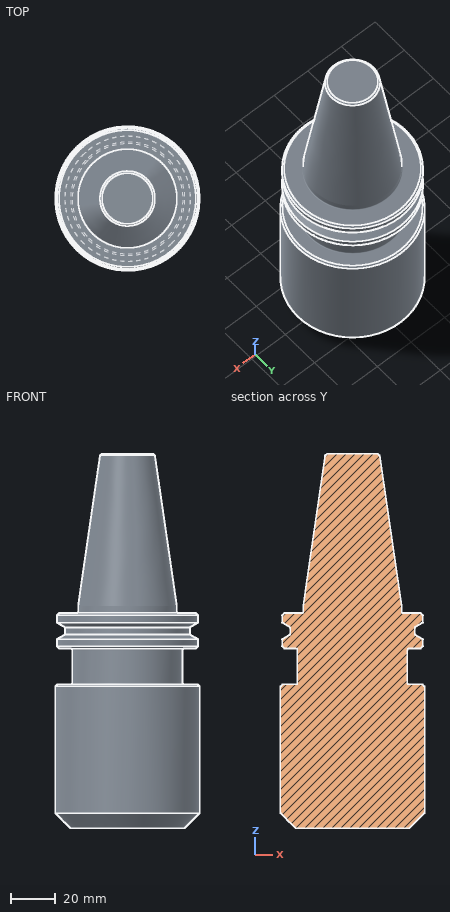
import cadquery as cq
import math

total_height = 168.4
taper_length = 68.4
gauge_z = total_height - taper_length
flange_top_z = gauge_z - 3.2
flange_bottom_z = gauge_z - 19.2
groove_z = gauge_z - 11.3
body_top_z = 64.8

gauge_radius = 22.2
taper_top_radius = gauge_radius - taper_length * 7 / 48
flange_radius = 63.5 / 2
groove_radius = 56.2 / 2
neck_radius = 49.7 / 2
body_radius = 65.0 / 2

taper_tip_chamfer = 0.8
flange_chamfer = 1.0
body_top_chamfer = 1.0
nose_chamfer = 6.9
neck_top_fillet = 0.8
root_fillet = 0.5
groove_fillet = 0.2

groove_mouth_half = 3.7
groove_wall_rise = (flange_radius - groove_radius) * math.tan(math.radians(30))
groove_root_half = groove_mouth_half - groove_wall_rise


def revolve(profile):
    """Turn a closed (radius, height) outline about the Z axis."""
    return profile.close().revolve(360, (0, 0, 0), (0, 1, 0))


def make_body():
    body = cq.Workplane("XY").circle(body_radius).extrude(body_top_z)
    body = body.faces("<Z").chamfer(nose_chamfer)
    return body.faces(">Z").chamfer(body_top_chamfer)


def make_neck():
    neck_length = flange_bottom_z - body_top_z
    return cq.Workplane("XY", origin=(0, 0, body_top_z)).circle(neck_radius).extrude(neck_length)


def make_flange():
    flange = (
        cq.Workplane("XY", origin=(0, 0, flange_bottom_z))
        .circle(flange_radius)
        .extrude(flange_top_z - flange_bottom_z)
        .faces("<Z or >Z")
        .chamfer(flange_chamfer)
    )
    groove = revolve(
        cq.Workplane("XZ")
        .moveTo(flange_radius, groove_z - groove_mouth_half)
        .lineTo(groove_radius, groove_z - groove_root_half)
        .lineTo(groove_radius, groove_z + groove_root_half)
        .lineTo(flange_radius, groove_z + groove_mouth_half)
    )
    return flange.cut(groove)


def make_taper():
    """Taper shank on a short cylindrical collar."""
    profile = (
        cq.Workplane("XZ")
        .moveTo(0, flange_top_z)
        .lineTo(gauge_radius, flange_top_z)
        .lineTo(gauge_radius, gauge_z)
        .lineTo(taper_top_radius, total_height)
        .lineTo(0, total_height)
    )
    return revolve(profile).faces(">Z").chamfer(taper_tip_chamfer)


def fillet_corner(solid, radius, z, size):
    """Round the circular edge of the given radius at height z."""
    reach = radius + size / 2
    tolerance = size / 2
    lower = (-reach, -reach, z - tolerance)
    upper = (reach, reach, z + tolerance)
    return solid.edges(cq.selectors.BoxSelector(lower, upper, boundingbox=True)).fillet(size)


holder = make_body().union(make_neck()).union(make_flange()).union(make_taper())

inside_corners = [
    (neck_radius, body_top_z, root_fillet),
    (neck_radius, flange_bottom_z, neck_top_fillet),
    (groove_radius, groove_z - groove_root_half, groove_fillet),
    (groove_radius, groove_z + groove_root_half, groove_fillet),
    (gauge_radius, flange_top_z, root_fillet),
]
for corner_radius, corner_z, fillet_size in inside_corners:
    holder = fillet_corner(holder, corner_radius, corner_z, fillet_size)

result = holder